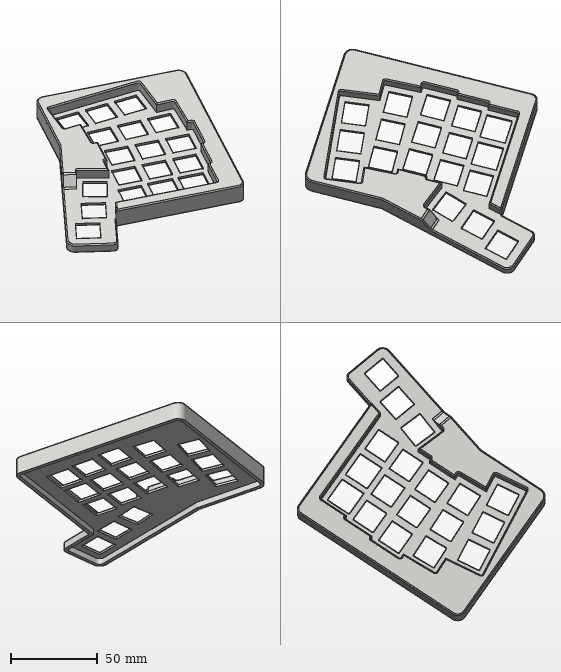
import cadquery as cq
import math

length = 137.0
depth = 111.5
height = 11.5
low_height = 5.3
main_width = 115.0
main_front = 21.1
wing_tilt = 15.0
edge_chamfer = 0.75

corner_radius = 5.0
block_back_right_radius = 4.0
wing_back_right_radius = 3.0

plate_thickness = 1.5
wall = 2.0

key_pitch = 18.5
key_hole = 14.0
wide_key_hole = 15.0
key_cell = 21.1
recess_radius = 1.0
keys_per_column = 3
column_length = (keys_per_column - 1) * key_pitch + key_cell

columns = [
    (18.4, 55.6, 7.5),
    (38.6, 68.2, 2.5),
    (59.2, 72.0, 0.0),
    (78.4, 70.1, 0.0),
    (96.6, 68.2, 0.0),
]
thumb_keys = [
    (84.8, 30.3, -18.0),
    (103.7, 23.5, -15.0),
    (120.7, 14.7, -15.0),
]

right_column = columns[-1]
wing_back_start = (right_column[0] + key_cell / 2, 35.5)
ramp_foot = (81.0, 21.1)
overrun = 82.2
overlap = 2.7

tilt_cos = math.cos(math.radians(wing_tilt))
tilt_sin = math.sin(math.radians(wing_tilt))
wing_slope = tilt_sin / tilt_cos


def shifted(point, run, rise):
    """The point moved along the wing by run and across it, backwards, by rise."""
    return (
        point[0] + run * tilt_cos + rise * tilt_sin,
        point[1] - run * tilt_sin + rise * tilt_cos,
    )


def wing_back(x):
    """The point of the wing's back edge at x."""
    return (x, wing_back_start[1] - wing_slope * (x - wing_back_start[0]))


def case_corners():
    """Sharp corners of the case, each with its rounding radius (0 stays sharp)."""
    pull_in = tilt_cos + tilt_sin - 1
    back_right = wing_back(length + wing_back_right_radius * pull_in)
    wing_width = (back_right[1] + corner_radius * pull_in) / tilt_cos
    front_right = shifted(back_right, 0, -wing_width)
    bend_x = front_right[0] - (main_front - front_right[1]) / wing_slope
    return [
        ((0, main_front), corner_radius),
        ((bend_x, main_front), 0),
        (front_right, corner_radius),
        (back_right, wing_back_right_radius),
        (wing_back(main_width), 0),
        ((main_width, depth), block_back_right_radius),
        ((0, depth), corner_radius),
    ]


def case_prism(inset, thickness):
    """The case outline, moved inwards by inset and extruded up from the bottom."""
    corners = case_corners()
    outline = cq.Workplane("XY").polyline([point for point, _ in corners]).close()
    if inset:
        outline = outline.offset2D(-inset, "intersection")
    prism = outline.extrude(thickness)
    for point, radius in corners:
        if radius:
            corner = cq.selectors.NearestToPointSelector((*point, thickness / 2))
            prism = prism.edges("|Z").edges(corner).fillet(radius - inset)
    return prism


def placed(shape, x, y, tilt, z):
    return shape.rotate((0, 0, 0), (0, 0, 1), tilt).translate((x, y, z))


def recess_cell(x, y, tilt, cell_length):
    """Round-cornered recess around one line of keys."""
    cell = cq.Workplane("XY").rect(key_cell, cell_length).extrude(height).edges("|Z").fillet(recess_radius)
    return placed(cell, x, y, tilt, low_height)


def fan_filler(x, y, tilt):
    """Fills the wedge that opens at the back between a tilted column and the next one."""
    back = column_length / 2
    side = key_cell / 2
    wedge = (
        cq.Workplane("XY")
        .polyline([(0, back), (side + overlap, back), (side + overlap / 2, 0), (side - overlap, -side)])
        .close()
        .extrude(height)
    )
    return placed(wedge, x, y, tilt, low_height)


def key_recess():
    recess = recess_cell(*thumb_keys[0], key_cell)
    for x, y, tilt in columns:
        recess = recess.union(recess_cell(x, y, tilt, column_length))
        if tilt:
            recess = recess.union(fan_filler(x, y, tilt))
    return recess


def wing_cutter():
    """Space above the wing, with the area between the thumb keys and the right columns."""
    floor = [
        ramp_foot,
        shifted(ramp_foot, overrun, 0),
        wing_back(wing_back_start[0] + overrun),
        wing_back_start,
        (wing_back_start[0], right_column[1]),
        columns[-2][:2],
        thumb_keys[0][:2],
    ]
    return cq.Workplane("XY").workplane(offset=low_height).polyline(floor).close().extrude(height)


def ramp_cutter():
    """Space above the 45 degree ramp between the block and the wing."""
    rise = height
    side_plane = cq.Plane(
        origin=(*shifted(ramp_foot, 0, overlap), low_height),
        xDir=(tilt_cos, -tilt_sin, 0),
        normal=(-tilt_sin, -tilt_cos, 0),
    )
    profile = [(0, 0), (-rise, rise), (overrun, rise), (overrun, 0)]
    return cq.Workplane(side_plane).polyline(profile).close().extrude(overrun)


def chamfer_outer_edges(case):
    """Bevels the rim of the tall block, the ramp's outer edge and the rim of the wing."""
    margin = 0.1
    wing_rim = cq.selectors.BoxSelector(
        (main_width, 0, low_height - margin),
        (length, depth, low_height + margin),
    )
    ramp_and_front_rim = cq.selectors.BoxSelector(
        (main_width / 2, 0, low_height - margin),
        (length, ramp_foot[1] - overlap - margin, height - edge_chamfer),
    )
    rims = case.faces(">Z").edges().vals() + case.edges(wing_rim + ramp_and_front_rim).vals()
    return case.newObject(rims).chamfer(edge_chamfer)


def key_opening(x, y, tilt, size):
    return placed(cq.Workplane("XY").rect(size, size).extrude(height), x, y, tilt, 0)


def key_openings():
    openings = [key_opening(*key, key_hole) for key in thumb_keys]
    for column in columns:
        x, y, tilt = column
        for row in range(keys_per_column):
            wide = column == right_column and row > 0
            size = wide_key_hole if wide else key_hole
            step = (row - (keys_per_column - 1) / 2) * key_pitch
            key_x = x - step * math.sin(math.radians(tilt))
            key_y = y + step * math.cos(math.radians(tilt))
            openings.append(key_opening(key_x, key_y, tilt, size))
    return openings


top_cutter = key_recess().union(wing_cutter()).union(ramp_cutter())
case = chamfer_outer_edges(case_prism(0, height).cut(top_cutter))
case = case.cut(case_prism(wall, low_height - plate_thickness))
for opening in key_openings():
    case = case.cut(opening)
result = case